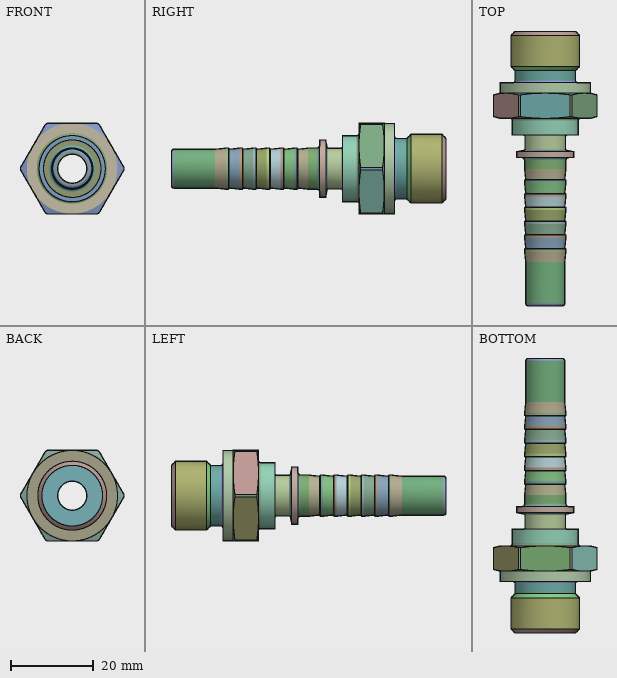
import cadquery as cq
import math

overall_length = 66.4
bore_radius = 7.0 / 2

tail_radius = 9.5 / 2
tail_round = 0.65
barb_radius = 10.0 / 2
barb_count = 7
barb_pitch = 3.3
barb_cone_length = 2.5
barb_rise_length = 0.1
barb_start = 10.6
barb_fillet = 0.7

flange_radius = 13.9 / 2
flange_front = 35.85
flange_rim_end = 37.3
flange_back = 37.65
neck_radius = 9.9 / 2
neck_fillet = 0.25

boss_radius = 16.0 / 2
boss_front = 41.3
boss_neck_fillet = 0.25
boss_fillet = 0.5

hex_across_flats = 22.0
hex_corner_radius = 25.0 / 2
hex_front = 45.35
hex_back = 51.45
hex_chamfer_angle = 15.0

collar_radius = 21.9 / 2
collar_back = 54.0
groove_radius = 14.7 / 2
groove_fillet = 0.45
thread_radius = 16.65 / 2
thread_start = 57.9
thread_chamfer = 1.0


def draw_barbs(outline):
    """Each barb widens along a cone to a short land, then drops to the next cone."""
    for index in range(barb_count):
        foot = barb_start + index * barb_pitch
        outline = outline.lineTo(barb_radius, foot + barb_cone_length)
        if index < barb_count - 1:
            next_foot = foot + barb_pitch
            outline = outline.lineTo(barb_radius, next_foot - barb_rise_length)
            outline = outline.lineTo(tail_radius, next_foot)
    return outline


def make_turned_body():
    arc_share = math.sqrt(0.5)

    def fillet_up(outline, radius, face, size):
        """Concave fillet from a cylinder to a larger shoulder at a higher Y."""
        offset = size * (1 - arc_share)
        return outline.lineTo(radius, face - size).threePointArc(
            (radius + offset, face - offset), (radius + size, face)
        )

    def fillet_down(outline, radius, face, size):
        """Concave fillet from a larger shoulder to a cylinder at a higher Y."""
        offset = size * (1 - arc_share)
        return outline.lineTo(radius + size, face).threePointArc(
            (radius + offset, face + offset), (radius, face + size)
        )

    round_inset = tail_round * (1 - arc_share)
    outline = cq.Workplane("XY").moveTo(bore_radius, 0).lineTo(tail_radius - tail_round, 0)
    outline = outline.threePointArc((tail_radius - round_inset, round_inset), (tail_radius, tail_round))
    outline = outline.lineTo(tail_radius, barb_start)
    outline = draw_barbs(outline)
    outline = fillet_up(outline, barb_radius, flange_front, barb_fillet)
    outline = outline.lineTo(flange_radius, flange_front).lineTo(flange_radius, flange_rim_end)
    outline = fillet_down(outline, neck_radius, flange_back, neck_fillet)
    outline = fillet_up(outline, neck_radius, boss_front, boss_neck_fillet)
    outline = outline.lineTo(boss_radius, boss_front)
    outline = fillet_up(outline, boss_radius, hex_front, boss_fillet)
    outline = outline.lineTo(collar_radius, hex_front).lineTo(collar_radius, collar_back)
    outline = fillet_down(outline, groove_radius, collar_back, groove_fillet)
    outline = outline.lineTo(groove_radius, thread_start - thread_chamfer)
    outline = outline.lineTo(thread_radius, thread_start)
    outline = outline.lineTo(thread_radius, overall_length - thread_chamfer)
    outline = outline.lineTo(thread_radius - thread_chamfer, overall_length)
    outline = outline.lineTo(bore_radius, overall_length).close()
    return outline.revolve(360, (0, 0, 0), (0, 1, 0))


def make_hexagon():
    """Hexagon with corners on the X axis, trimmed by a cylinder with coned ends."""
    corner_diameter = hex_across_flats / math.cos(math.pi / 6)
    prism = (
        cq.Workplane("XZ", origin=(0, hex_back, 0))
        .polygon(6, corner_diameter)
        .circle(bore_radius)
        .extrude(hex_back - hex_front)
    )
    chamfer_depth = (hex_corner_radius - collar_radius) * math.tan(math.radians(hex_chamfer_angle))
    envelope = (
        cq.Workplane("XY")
        .moveTo(0, hex_front)
        .lineTo(collar_radius, hex_front)
        .lineTo(hex_corner_radius, hex_front + chamfer_depth)
        .lineTo(hex_corner_radius, hex_back - chamfer_depth)
        .lineTo(collar_radius, hex_back)
        .lineTo(0, hex_back)
        .close()
        .revolve(360, (0, 0, 0), (0, 1, 0))
    )
    return prism.intersect(envelope)


result = make_turned_body().union(make_hexagon())